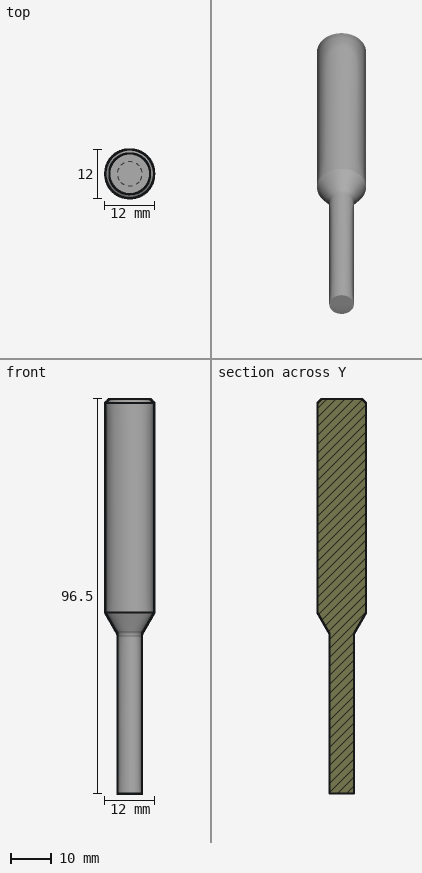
import cadquery as cq
import math

total_length = 96.5
shank_radius = 12.0 / 2
pin_radius = 6.0 / 2
pin_length = 38.5
shank_chamfer = 1.0
neck_fillet_radius = 2.0
cone_half_angle = math.radians(30)


def fillet_point(turn):
    """Point (radius, height) on the neck fillet after turning away from the pin wall."""
    radius = pin_radius + neck_fillet_radius * (1 - math.cos(turn))
    height = pin_length + neck_fillet_radius * math.sin(turn)
    return radius, height


def half_profile():
    fillet_end = fillet_point(cone_half_angle)
    cone_height = (shank_radius - fillet_end[0]) / math.tan(cone_half_angle)
    shank_bottom = fillet_end[1] + cone_height
    return (
        cq.Workplane("XZ")
        .lineTo(pin_radius, 0)
        .lineTo(pin_radius, pin_length)
        .threePointArc(fillet_point(cone_half_angle / 2), fillet_end)
        .lineTo(shank_radius, shank_bottom)
        .lineTo(shank_radius, total_length - shank_chamfer)
        .lineTo(shank_radius - shank_chamfer, total_length)
        .lineTo(0, total_length)
        .close()
    )


result = half_profile().revolve(360, (0, 0), (0, 1))